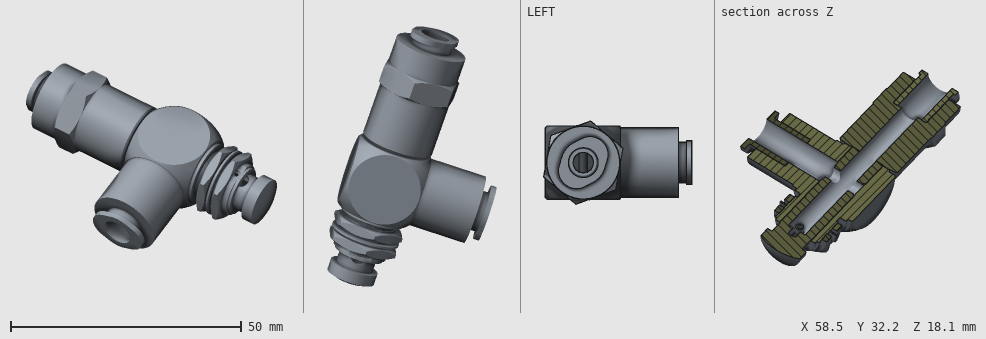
import cadquery as cq
import math


BLOCK_HALF_X = 7.95
BLOCK_HALF_Z = 8.0
BLOCK_BACK_Y = 8.26
BLOCK_FRONT_Y = -8.1
BLOCK_BALL_R = 11.2
BRANCH_R = 7.6
BRANCH_END_Y = -20.69
BRANCH_PASSAGE_R = 3.24
LEFT_COLLAR_R = 6.2
LEFT_COLLAR_END_X = -8.45
RIGHT_COLLAR_R = 7.1
RIGHT_COLLAR_END_X = 8.6
RELIEF_R = 5.44
THREAD_R = 5.95
THREAD_START_X = 9.7
THREAD_END_X = 16.9
STEM_END_X = 17.5
STEM_FLAT_Z = 5.35

STOP_BAR_X = 15.87
STOP_BAR_R = 0.9
STOP_BAR_HOLE_R = 0.45
STOP_BAR_SINK = 0.3

SLEEVE_BORE_R = 3.24
SLEEVE_NECK_R = 4.46
SLEEVE_GAP = 1.7
SLEEVE_FLANGE_T = 1.2
SLEEVE_DEPTH = 8.0
FLANGE_SHORT_R = 4.8
FLANGE_END_R = 3.9
FLANGE_HALF_LENGTH = 6.2
INLET_SLEEVE_TILT = 40.0

INLET_R = 7.88
INLET_END_X = -31.52
INLET_CHAMFER = 0.35
INLET_HEX_AF = 15.89
INLET_HEX_START_X = -25.8
INLET_HEX_LENGTH = 5.1
INLET_HEX_TILT = 10.0
INLET_PASSAGE_R = 2.2
HEX_CHAMFER_X = 0.75

NUT_AF = 14.25
NUT_T = 2.0
NUT_CHAMFER_X = 0.65
NUT_PLACES = ((10.0, -9.8), (13.7, -5.2))
WASHER_R = 7.6
WASHER_T = 0.45
WASHER_X = 12.62

SPOOL_R = 4.15
SPOOL_BORE_R = 2.2
SPOOL_GROOVE_R = 3.95
SPOOL_GROOVE_HALF = 2.0
SPOOL_PORT_R = 1.59
BUTTON_R = 5.33
BUTTON_START_X = 20.4
BUTTON_RIM_X = 22.95
BUTTON_TIP_X = 24.1
WINDOW_X = 16.87
WINDOW_R = 1.95
WINDOW_FLOOR_Z = 3.0
SLOT_HALF_WIDTH = 0.95


def rod(radius, start_x, end_x):
    """Solid cylinder on the main axis."""
    return cq.Workplane("YZ", origin=(start_x, 0, 0)).circle(radius).extrude(end_x - start_x)


def branch_rod(radius, start_y, end_y):
    """Solid cylinder on the branch axis, running towards -Y."""
    return cq.Workplane("XZ", origin=(0, start_y, 0)).circle(radius).extrude(start_y - end_y)


def cross_rod(radius, x, start_z, end_z):
    """Solid cylinder parallel to Z, crossing the main axis at x."""
    return cq.Workplane("XY", origin=(x, 0, start_z)).circle(radius).extrude(end_z - start_z)


def chamfered_hexagon(across_flats, start_x, length, chamfer_x, tilt):
    """Hexagonal prism whose corners are turned off at both ends; zero tilt has a corner on +Z."""
    inner_r = across_flats / 2
    corner_r = inner_r / math.cos(math.pi / 6)
    prism = (
        cq.Workplane("YZ")
        .polygon(6, 2 * corner_r)
        .extrude(length)
        .rotate((0, 0, 0), (1, 0, 0), 30 + tilt)
    )
    turned = (
        cq.Workplane("XY")
        .moveTo(0, 0)
        .lineTo(0, inner_r)
        .lineTo(chamfer_x, corner_r)
        .lineTo(length - chamfer_x, corner_r)
        .lineTo(length, inner_r)
        .lineTo(length, 0)
        .close()
        .revolve(360, (0, 0, 0), (1, 0, 0))
    )
    return prism.intersect(turned).translate((start_x, 0, 0))


def make_housing():
    block = cq.Workplane("XY").box(
        2 * BLOCK_HALF_X, BLOCK_BACK_Y - BLOCK_FRONT_Y, 2 * BLOCK_HALF_Z
    )
    block = block.translate((0, (BLOCK_BACK_Y + BLOCK_FRONT_Y) / 2, 0))
    block = block.intersect(cq.Workplane("XY").sphere(BLOCK_BALL_R))

    stem = rod(RELIEF_R, 0, STEM_END_X).union(rod(THREAD_R, THREAD_START_X, THREAD_END_X))
    flats = cq.Workplane("XY").box(2 * STEM_END_X, 2 * THREAD_R, 2 * STEM_FLAT_Z)
    stem = stem.intersect(flats)

    body = (
        block.union(branch_rod(BRANCH_R, 0, BRANCH_END_Y))
        .union(rod(LEFT_COLLAR_R, LEFT_COLLAR_END_X, 0))
        .union(rod(RIGHT_COLLAR_R, 0, RIGHT_COLLAR_END_X))
        .union(stem)
        .cut(rod(SPOOL_R, LEFT_COLLAR_END_X, STEM_END_X))
        .cut(branch_rod(BRANCH_PASSAGE_R, 0, BRANCH_END_Y))
        .cut(branch_rod(SLEEVE_NECK_R, BRANCH_END_Y + SLEEVE_DEPTH, BRANCH_END_Y))
    )

    bar_end_z = STEM_FLAT_Z - STOP_BAR_SINK
    body = body.cut(cross_rod(STOP_BAR_R, STOP_BAR_X, -STEM_FLAT_Z, STEM_FLAT_Z))
    body = body.union(cross_rod(STOP_BAR_R, STOP_BAR_X, -bar_end_z, bar_end_z))
    return body.cut(cross_rod(STOP_BAR_HOLE_R, STOP_BAR_X, -bar_end_z, bar_end_z))


def make_inlet_body():
    barrel = rod(INLET_R, INLET_END_X, LEFT_COLLAR_END_X).faces(">X").chamfer(INLET_CHAMFER)
    hexagon = chamfered_hexagon(
        INLET_HEX_AF, INLET_HEX_START_X, INLET_HEX_LENGTH, HEX_CHAMFER_X, INLET_HEX_TILT
    )
    return (
        barrel.union(hexagon)
        .cut(rod(SLEEVE_NECK_R, INLET_END_X, INLET_END_X + SLEEVE_DEPTH))
        .cut(rod(INLET_PASSAGE_R, INLET_END_X, LEFT_COLLAR_END_X))
    )


def make_release_sleeve():
    """Sleeve along Z with its port face at Z = 0, flange above it and long flange axis on X."""
    end_offset = FLANGE_HALF_LENGTH - FLANGE_END_R
    touch = math.acos((FLANGE_SHORT_R - FLANGE_END_R) / end_offset)
    short_x = FLANGE_SHORT_R * math.cos(touch)
    short_y = FLANGE_SHORT_R * math.sin(touch)
    end_x = end_offset + FLANGE_END_R * math.cos(touch)
    end_y = FLANGE_END_R * math.sin(touch)
    flange = (
        cq.Workplane("XY", origin=(0, 0, SLEEVE_GAP))
        .moveTo(-short_x, short_y)
        .threePointArc((0, FLANGE_SHORT_R), (short_x, short_y))
        .lineTo(end_x, end_y)
        .threePointArc((FLANGE_HALF_LENGTH, 0), (end_x, -end_y))
        .lineTo(short_x, -short_y)
        .threePointArc((0, -FLANGE_SHORT_R), (-short_x, -short_y))
        .lineTo(-end_x, -end_y)
        .threePointArc((-FLANGE_HALF_LENGTH, 0), (-end_x, end_y))
        .close()
        .extrude(SLEEVE_FLANGE_T)
    )
    total_length = SLEEVE_DEPTH + SLEEVE_GAP + SLEEVE_FLANGE_T
    base = cq.Workplane("XY", origin=(0, 0, -SLEEVE_DEPTH))
    neck = base.circle(SLEEVE_NECK_R).extrude(SLEEVE_DEPTH + SLEEVE_GAP)
    bore = base.circle(SLEEVE_BORE_R).extrude(total_length)
    return neck.union(flange).cut(bore)


def make_nut(near_x, tilt):
    nut = chamfered_hexagon(NUT_AF, near_x, NUT_T, NUT_CHAMFER_X, tilt)
    return nut.cut(rod(THREAD_R, near_x, near_x + NUT_T))


def make_washer():
    end_x = WASHER_X + WASHER_T
    return rod(WASHER_R, WASHER_X, end_x).cut(rod(THREAD_R, WASHER_X, end_x))


def make_spool():
    shaft = rod(SPOOL_R, LEFT_COLLAR_END_X, BUTTON_START_X)
    groove = rod(SPOOL_R, -SPOOL_GROOVE_HALF, SPOOL_GROOVE_HALF).cut(
        rod(SPOOL_GROOVE_R, -SPOOL_GROOVE_HALF, SPOOL_GROOVE_HALF)
    )

    rise = BUTTON_TIP_X - BUTTON_RIM_X
    dome_r = (BUTTON_R**2 + rise**2) / (2 * rise)
    mid_angle = math.asin(BUTTON_R / dome_r) / 2
    dome_mid = (BUTTON_TIP_X - dome_r * (1 - math.cos(mid_angle)), dome_r * math.sin(mid_angle))
    button = (
        cq.Workplane("XY")
        .moveTo(BUTTON_START_X, 0)
        .lineTo(BUTTON_START_X, BUTTON_R)
        .lineTo(BUTTON_RIM_X, BUTTON_R)
        .threePointArc(dome_mid, (BUTTON_TIP_X, 0))
        .close()
        .revolve(360, (0, 0, 0), (1, 0, 0))
    )

    upper_pocket = cross_rod(WINDOW_R, WINDOW_X, WINDOW_FLOOR_Z, SPOOL_R)
    lower_pocket = cross_rod(WINDOW_R, WINDOW_X, -SPOOL_R, -WINDOW_FLOOR_Z)
    slot = (
        cq.Workplane("XY")
        .box(2 * WINDOW_R, 2 * SLOT_HALF_WIDTH, 2 * SPOOL_R)
        .translate((WINDOW_X, 0, 0))
        .intersect(cross_rod(WINDOW_R, WINDOW_X, -SPOOL_R, SPOOL_R))
    )
    return (
        shaft.cut(groove)
        .union(button)
        .cut(rod(SPOOL_BORE_R, LEFT_COLLAR_END_X, WINDOW_X))
        .cut(branch_rod(SPOOL_PORT_R, SPOOL_R, -SPOOL_R))
        .cut(upper_pocket)
        .cut(lower_pocket)
        .cut(slot)
    )


housing = make_housing()
inlet_body = make_inlet_body()
release_sleeve = make_release_sleeve()
branch_sleeve = release_sleeve.rotate((0, 0, 0), (1, 0, 0), 90).translate((0, BRANCH_END_Y, 0))
inlet_sleeve = (
    release_sleeve.rotate((0, 0, 0), (0, 1, 0), -90)
    .rotate((0, 0, 0), (1, 0, 0), INLET_SLEEVE_TILT)
    .translate((INLET_END_X, 0, 0))
)
nuts = [make_nut(near_x, tilt) for near_x, tilt in NUT_PLACES]
washer = make_washer()
spool = make_spool()

result = cq.Compound.makeCompound(
    [
        housing.val(),
        inlet_body.val(),
        branch_sleeve.val(),
        inlet_sleeve.val(),
        *[nut.val() for nut in nuts],
        washer.val(),
        spool.val(),
    ]
)